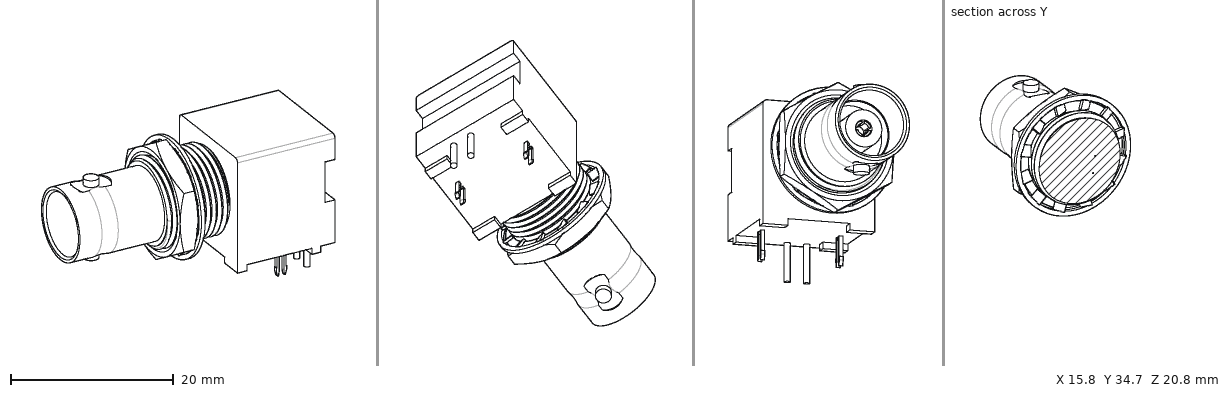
import cadquery as cq
import math


housing_width = 14.5
housing_length = 13.8
housing_top = 7.05
housing_floor = -7.8
top_edge_radius = 0.5
foot_bottom = -8.63
foot_width = 3.25
front_foot_length = 1.37
rear_foot_length = 1.27
rear_foot_inset = 2.0
notch_depth = 1.4
notch_top = 3.62
notch_bottom = -1.92

pin_diameter = 0.8
pin_pitch = 2.54
pin_bottom = -12.7
pin_bend_radius = 0.45
pin_y = housing_length - 1.32
pin_embed = 2.0

leg_x = 5.08
leg_y = 7.32
leg_thickness = 0.5
leg_half_width = 0.65
leg_bulge_half_width = 0.74
leg_gap_half_width = 0.31
leg_root_gap_half_width = 0.21
leg_root_bottom = housing_floor - 0.4
leg_bulge_top = -10.4
leg_bulge_bottom = -10.85
leg_tip_bottom = -11.55
leg_tip_inner = 0.42
leg_tip_outer = 0.54

thread_pitch = 25.4 / 32
thread_major_radius = 5.95
thread_root_radius = 10.79 / 2
thread_length = 8.92
thread_start = -0.14
thread_crest_width = 0.05
thread_base_width = 0.72
thread_overlap = 0.1
thread_run = thread_length - thread_start + thread_pitch / 2

washer_radius = 15.8 / 2
washer_inner_radius = 7.25
washer_thickness = 0.53
washer_depth = 4.93
tooth_count = 12
tooth_inner_radius = 6.0
tooth_overlap = 0.08
tooth_width = 1.5
tooth_thickness = 0.35
tooth_twist = 22
tooth_phase = 15

nut_flats = 14.0
nut_depth = washer_depth + washer_thickness
nut_thickness = 2.5
nut_corner_radius = nut_flats / 2 / math.cos(math.radians(30))
nut_face_radius = nut_flats / 2
nut_chamfer = 0.53
nut_countersink_radius = 6.35
nut_countersink_depth = 0.95

barrel_radius = 9.65 / 2
barrel_end = 34.7 - housing_length
bore_radius = 8.0 / 2
bore_depth = 8.5
mouth_radius = 4.14
mouth_depth = 6.0
mouth_chamfer = 0.3
lug_depth = 16.6
lug_radius = 1.98 / 2
lug_tip = 5.5
neck_depth = 16.63
neck_width = 2.3
neck_sag = 0.11
flat_height = 4.58
flat_radius = 2.54

insulator_radius = 4.7 / 2
insulator_recess = 3.4
contact_hole_radius = 2.11 / 2
contact_hole_depth = 4.0
contact_radius = 1.98 / 2
contact_recess = 0.2
contact_bore_radius = 1.42 / 2
contact_bore_depth = 2.0
contact_cone_depth = 0.5
contact_slot_width = 0.35
contact_slot_depth = 1.5


def box(x_range, y_range, z_range):
    size = [high - low for low, high in (x_range, y_range, z_range)]
    corner = (x_range[0], y_range[0], z_range[0])
    return cq.Workplane("XY").box(*size, centered=False).translate(corner)


def cylinder(radius, start_depth, end_depth):
    """Cylinder on the connector axis between two depths."""
    plane = cq.Workplane("XZ", origin=(0, -start_depth, 0))
    return plane.circle(radius).extrude(end_depth - start_depth)


def revolve_about_axis(profile):
    """Revolve a closed (radius, y) profile about the connector axis."""
    return profile.revolve(360, (0, 0, 0), (0, 1, 0))


def housing():
    half = housing_width / 2
    block = box((-half, half), (0, housing_length), (housing_floor, housing_top))
    block = block.edges("|Y and >Z").fillet(top_edge_radius)
    notch_y = (housing_length - notch_depth, housing_length)
    block = block.cut(box((-half, half), notch_y, (notch_bottom, notch_top)))
    rear_foot_end = housing_length - rear_foot_inset
    foot_spans = (
        (0, front_foot_length),
        (rear_foot_end - rear_foot_length, rear_foot_end),
    )
    for foot_y in foot_spans:
        for foot_x in ((-half, foot_width - half), (half - foot_width, half)):
            block = block.union(box(foot_x, foot_y, (foot_bottom, housing_floor)))
    return block


def signal_pin():
    """Pin that rises in the rear notch and bends forward on the connector axis."""
    path = (
        cq.Workplane("YZ")
        .moveTo(pin_y, pin_bottom)
        .lineTo(pin_y, -pin_bend_radius)
        .radiusArc((pin_y - pin_bend_radius, 0), -pin_bend_radius)
        .lineTo(pin_y - pin_bend_radius - pin_embed, 0)
    )
    section = cq.Workplane("XY", origin=(0, pin_y, pin_bottom)).circle(pin_diameter / 2)
    return section.sweep(path)


def ground_pin():
    plane = cq.Workplane("XY", origin=(pin_pitch, pin_y, pin_bottom))
    return plane.circle(pin_diameter / 2).extrude(housing_floor + pin_embed - pin_bottom)


def board_lock(x):
    """Pair of mirrored prongs that spring against a board hole."""
    prong = (
        cq.Workplane("YZ", origin=(x - leg_thickness / 2, leg_y, 0))
        .moveTo(leg_root_gap_half_width, housing_floor)
        .lineTo(leg_root_gap_half_width, leg_root_bottom)
        .lineTo(leg_gap_half_width, leg_root_bottom)
        .lineTo(leg_gap_half_width, leg_bulge_bottom)
        .lineTo(leg_tip_inner, leg_tip_bottom)
        .lineTo(leg_tip_outer, leg_tip_bottom)
        .lineTo(leg_bulge_half_width, leg_bulge_bottom)
        .lineTo(leg_bulge_half_width, leg_bulge_top)
        .lineTo(leg_half_width, leg_bulge_top)
        .lineTo(leg_half_width, housing_floor)
        .close()
        .extrude(leg_thickness)
    )
    return prong.union(prong.mirror("XZ", (0, leg_y, 0)))


def thread_ridge():
    """Right-hand helical ridge, built along +Z and then turned to run towards -Y."""
    base_radius = thread_root_radius - thread_overlap
    helix = cq.Wire.makeHelix(thread_pitch, thread_run, base_radius)
    section = (
        cq.Workplane("XZ")
        .moveTo(base_radius, -thread_base_width / 2)
        .lineTo(thread_major_radius, -thread_crest_width / 2)
        .lineTo(thread_major_radius, thread_crest_width / 2)
        .lineTo(base_radius, thread_base_width / 2)
        .close()
    )
    ridge = section.sweep(cq.Workplane(helix), isFrenet=True)
    ridge = ridge.rotate((0, 0, 0), (1, 0, 0), 90).translate((0, -thread_start, 0))
    return ridge.intersect(thread_envelope())


def thread_envelope():
    """Bushing outline with a 45 degree bevel at each end, which trims the thread."""
    outer_radius = thread_major_radius + thread_overlap
    bevel = outer_radius - thread_root_radius
    return revolve_about_axis(
        cq.Workplane("XY")
        .moveTo(0, 0)
        .lineTo(thread_root_radius, 0)
        .lineTo(outer_radius, -bevel)
        .lineTo(outer_radius, -thread_length + bevel)
        .lineTo(thread_root_radius, -thread_length)
        .lineTo(0, -thread_length)
        .close()
    )


def washer():
    washer_end = washer_depth + washer_thickness
    ring = cylinder(washer_radius, washer_depth, washer_end)
    ring = ring.cut(cylinder(washer_inner_radius, washer_depth, washer_end))
    tooth_outer_radius = washer_inner_radius + tooth_overlap
    tooth = (
        box(
            (tooth_inner_radius, tooth_outer_radius),
            (-tooth_thickness / 2, tooth_thickness / 2),
            (-tooth_width / 2, tooth_width / 2),
        )
        .rotate((0, 0, 0), (1, 0, 0), tooth_twist)
        .translate((0, -(washer_depth + washer_end) / 2, 0))
    )
    for index in range(tooth_count):
        angle = tooth_phase + index * 360 / tooth_count
        ring = ring.union(tooth.rotate((0, 0, 0), (0, 1, 0), angle))
    return ring


def nut():
    """Nut with bevelled corners; its threaded bore is filled by the bushing."""
    nut_end = nut_depth + nut_thickness
    hexagon = (
        cq.Workplane("XZ", origin=(0, -nut_depth, 0))
        .transformed(rotate=(0, 0, 90))
        .polygon(6, 2 * nut_corner_radius)
        .extrude(nut_thickness)
    )
    corner_trim = revolve_about_axis(
        cq.Workplane("XY")
        .moveTo(0, -nut_depth)
        .lineTo(nut_face_radius, -nut_depth)
        .lineTo(nut_corner_radius, -nut_depth - nut_chamfer)
        .lineTo(nut_corner_radius, -nut_end + nut_chamfer)
        .lineTo(nut_face_radius, -nut_end)
        .lineTo(0, -nut_end)
        .close()
    )
    countersink = revolve_about_axis(
        cq.Workplane("XY")
        .moveTo(0, -nut_end)
        .lineTo(nut_countersink_radius, -nut_end)
        .lineTo(thread_root_radius, -nut_end + nut_countersink_depth)
        .lineTo(0, -nut_end + nut_countersink_depth)
        .close()
    )
    return hexagon.intersect(corner_trim).cut(countersink)


def barrel():
    """Bushing core and barrel, with the shallow neck at the lugs and the mating bore."""
    neck_rear = neck_depth - neck_width / 2
    neck_front = neck_depth + neck_width / 2
    body = revolve_about_axis(
        cq.Workplane("XY")
        .moveTo(0, 0)
        .lineTo(thread_root_radius, 0)
        .lineTo(thread_root_radius, -thread_length)
        .lineTo(barrel_radius, -thread_length)
        .lineTo(barrel_radius, -neck_rear)
        .threePointArc((barrel_radius - neck_sag, -neck_depth), (barrel_radius, -neck_front))
        .lineTo(barrel_radius, -barrel_end)
        .lineTo(0, -barrel_end)
        .close()
    )
    for side in (1, -1):
        flat = cq.Workplane("XY", origin=(0, -lug_depth, side * flat_height))
        body = body.cut(flat.circle(flat_radius).extrude(side * (lug_tip - flat_height)))
        body = body.union(lug(side))
    bore = cylinder(bore_radius, barrel_end - bore_depth, barrel_end)
    return body.cut(bore).cut(mouth())


def lug(side):
    plane = cq.Workplane("XY", origin=(0, -lug_depth, side * bore_radius))
    return plane.circle(lug_radius).extrude(side * (lug_tip - bore_radius))


def mouth():
    """Wider front stretch of the bore with its conical lead-in."""
    return revolve_about_axis(
        cq.Workplane("XY")
        .moveTo(0, -barrel_end)
        .lineTo(mouth_radius + mouth_chamfer, -barrel_end)
        .lineTo(mouth_radius, -barrel_end + mouth_chamfer)
        .lineTo(mouth_radius, -barrel_end + mouth_depth)
        .lineTo(0, -barrel_end + mouth_depth)
        .close()
    )


def insulator():
    """Insulator standing in the bore, with the slotted contact recessed in its hole."""
    face = barrel_end - insulator_recess
    hole_bottom = face - contact_hole_depth
    body = cylinder(insulator_radius, barrel_end - bore_depth, face)
    body = body.cut(cylinder(contact_hole_radius, hole_bottom, face))
    return body.union(contact(hole_bottom, face - contact_recess))


def contact(base, tip):
    bore_bottom = tip - contact_bore_depth
    tube = cylinder(contact_radius, base, tip)
    tube = tube.cut(
        revolve_about_axis(
            cq.Workplane("XY")
            .moveTo(0, -tip)
            .lineTo(contact_bore_radius, -tip)
            .lineTo(contact_bore_radius, -bore_bottom)
            .lineTo(0, -bore_bottom + contact_cone_depth)
            .close()
        )
    )
    half_slot = contact_slot_width / 2
    slot_y = (-tip, -tip + contact_slot_depth)
    across = (-contact_radius, contact_radius)
    tube = tube.cut(box(across, slot_y, (-half_slot, half_slot)))
    return tube.cut(box((-half_slot, half_slot), slot_y, across))


def connector():
    body = barrel().union(insulator())
    body = body.union(thread_ridge())
    body = body.union(nut().union(washer()))
    body = body.union(housing())
    for piece in (signal_pin(), ground_pin(), board_lock(-leg_x), board_lock(leg_x)):
        body = body.union(piece)
    return body


result = connector()